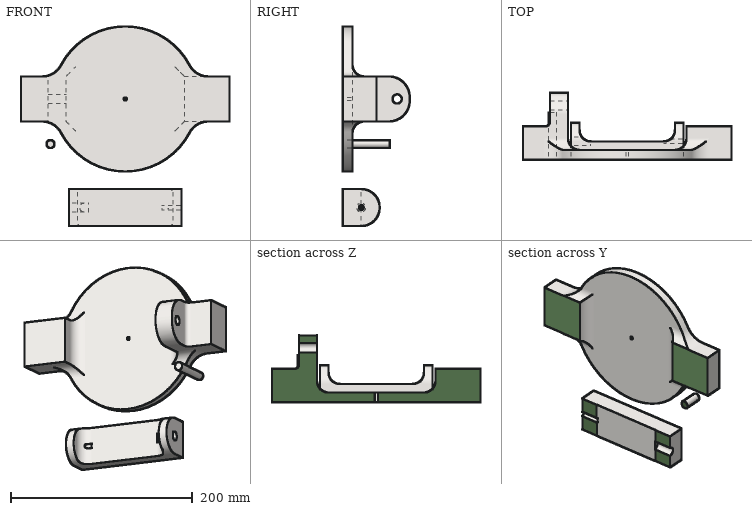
import cadquery as cq
import math

base_length = 230
disc_radius = 80.0
plate_thickness = 11.0
center_hole_diameter = 3.0
outline_blend_radius = 23

arm_height = 50.0
arm_depth = 37.0
arm_inner_x = 65.0
arm_foot_radius = 12.5

ear_width = 20.0
ear_tip_y = 74.0
ear_corner_radius = 23.2
ear_foot_radius = 5.0
ear_hole_diameter = 10.0
ear_hole_y = 60.0

holder_length = 124.0
holder_height = 41.0
holder_round_radius = holder_height / 2
holder_bottom_z = -140.0
holder_center_z = holder_bottom_z + holder_height / 2
holder_wall = 9.7
channel_floor_y = holder_round_radius
channel_corner_radius = 12.0
holder_large_hole_diameter = 10.0
holder_small_hole_diameter = 5.0

pin_diameter = 9.0
pin_length = 52.0
pin_x = -82.3
pin_z = -49.7


def base_outline(depth):
    """Disc and arms, blended by tangent arcs, extruded from Y = 0 toward +Y."""
    end_x = base_length / 2
    arm_z = arm_height / 2
    blend_z = arm_z + outline_blend_radius
    center_distance = disc_radius + outline_blend_radius
    blend_x = math.sqrt(center_distance**2 - blend_z**2)
    touch_x = blend_x * disc_radius / center_distance
    touch_z = blend_z * disc_radius / center_distance
    start_angle = -math.pi / 2
    end_angle = math.atan2(-blend_z, -blend_x)
    middle_angle = (start_angle + end_angle) / 2
    middle_x = blend_x + outline_blend_radius * math.cos(middle_angle)
    middle_z = blend_z + outline_blend_radius * math.sin(middle_angle)
    return (
        cq.Workplane("XZ")
        .moveTo(end_x, -arm_z)
        .lineTo(end_x, arm_z)
        .lineTo(blend_x, arm_z)
        .threePointArc((middle_x, middle_z), (touch_x, touch_z))
        .threePointArc((0, disc_radius), (-touch_x, touch_z))
        .threePointArc((-middle_x, middle_z), (-blend_x, arm_z))
        .lineTo(-end_x, arm_z)
        .lineTo(-end_x, -arm_z)
        .lineTo(-blend_x, -arm_z)
        .threePointArc((-middle_x, -middle_z), (-touch_x, -touch_z))
        .threePointArc((0, -disc_radius), (touch_x, -touch_z))
        .threePointArc((middle_x, -middle_z), (blend_x, -arm_z))
        .close()
        .extrude(-depth)
    )


def slab_with_arms():
    """Oversize slab carrying both arm blocks, with a cove around each arm foot."""
    arm_length = base_length / 2 - arm_inner_x
    slab = cq.Workplane("XY").box(
        base_length, plate_thickness, 2 * disc_radius, centered=(True, False, True)
    )
    for side in (-1, 1):
        arm = (
            cq.Workplane("XY")
            .box(arm_length, arm_depth, arm_height, centered=(True, False, True))
            .translate((side * (arm_inner_x + arm_length / 2), 0, 0))
        )
        slab = slab.union(arm)
    edge_tolerance = 0.02
    foot_edges = cq.selectors.BoxSelector(
        (-base_length / 2 + edge_tolerance, plate_thickness - edge_tolerance, -arm_height),
        (base_length / 2 - edge_tolerance, plate_thickness + edge_tolerance, arm_height),
    )
    return slab.edges(foot_edges).fillet(arm_foot_radius)


def ear():
    """Rounded ear behind the left arm, with a cross hole and a cove at its foot."""
    outer_x = -arm_inner_x - ear_width
    lug_length = ear_tip_y - plate_thickness
    lug = (
        cq.Workplane("XY")
        .box(ear_width, lug_length, arm_height, centered=(False, False, True))
        .translate((outer_x, plate_thickness, 0))
        .edges("|X and >Y")
        .fillet(ear_corner_radius)
    )
    foot = (
        cq.Workplane("XY", origin=(outer_x, arm_depth, -arm_height / 2))
        .rect(2 * ear_foot_radius, 2 * ear_foot_radius)
        .extrude(arm_height)
    )
    foot_relief = (
        cq.Workplane("XY", origin=(outer_x, arm_depth, -arm_height / 2))
        .center(-ear_foot_radius, ear_foot_radius)
        .circle(ear_foot_radius)
        .extrude(arm_height)
    )
    hole = (
        cq.Workplane("YZ", origin=(outer_x, ear_hole_y, 0))
        .circle(ear_hole_diameter / 2)
        .extrude(ear_width)
    )
    return lug.union(foot.cut(foot_relief)).cut(hole)


def make_base():
    center_hole = cq.Workplane("XZ").circle(center_hole_diameter / 2).extrude(-plate_thickness)
    plate_and_arms = slab_with_arms().intersect(base_outline(arm_depth))
    return plate_and_arms.union(ear()).cut(center_hole)


def make_holder():
    left_x = -holder_length / 2
    block = (
        cq.Workplane("YZ", origin=(left_x, 0, holder_center_z))
        .moveTo(0, -holder_height / 2)
        .lineTo(holder_round_radius, -holder_height / 2)
        .threePointArc(
            (2 * holder_round_radius, 0), (holder_round_radius, holder_height / 2)
        )
        .lineTo(0, holder_height / 2)
        .close()
        .extrude(holder_length)
    )
    channel = (
        cq.Workplane("XY")
        .box(
            holder_length - 2 * holder_wall,
            2 * holder_round_radius,
            holder_height,
            centered=(True, False, True),
        )
        .edges("|Z and <Y")
        .fillet(channel_corner_radius)
        .translate((0, channel_floor_y, holder_center_z))
    )
    hole_depth = holder_wall + channel_corner_radius
    large_hole = (
        cq.Workplane("YZ", origin=(left_x, channel_floor_y, holder_center_z))
        .circle(holder_large_hole_diameter / 2)
        .extrude(hole_depth)
    )
    small_hole = (
        cq.Workplane("YZ", origin=(-left_x, channel_floor_y, holder_center_z))
        .circle(holder_small_hole_diameter / 2)
        .extrude(-hole_depth)
    )
    return block.cut(channel).cut(large_hole).cut(small_hole)


def make_pin():
    return (
        cq.Workplane("XZ", origin=(pin_x, 0, pin_z))
        .circle(pin_diameter / 2)
        .extrude(-pin_length)
    )


base = make_base()
holder = make_holder()
pin = make_pin()

result = cq.Compound.makeCompound([base.val(), holder.val(), pin.val()])